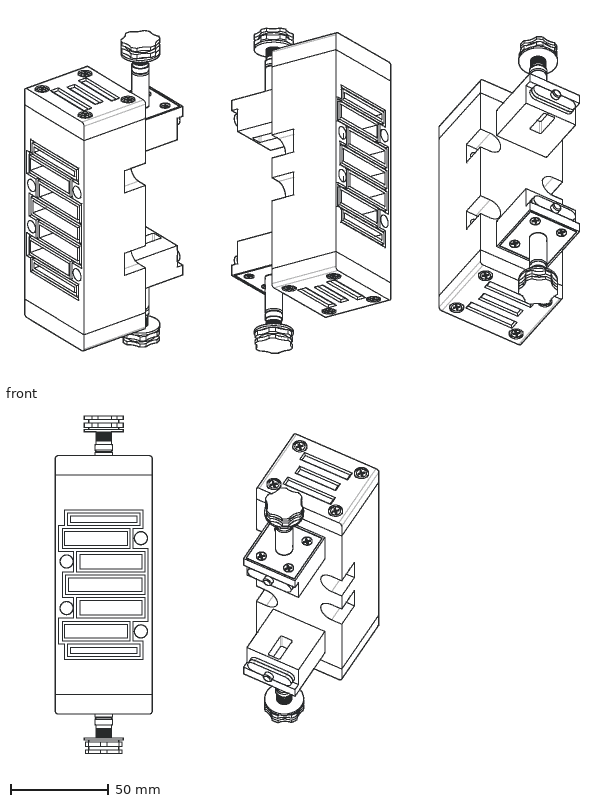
import cadquery as cq
import math


TOTAL_HEIGHT = 173.7
BODY_WIDTH = 50.0
BODY_DEPTH = 40.0
STACK_HEIGHT = 133.0
CAP_THICKNESS = 10.0
BODY_HEIGHT = STACK_HEIGHT - 2 * CAP_THICKNESS

GROOVE_DEPTH = 1.7
GROOVE_WIDTH = 1.5
PORT_DEPTH = 17.4
PORT_LIP = 1.5
PORT_LIP_WIDE = 1.0
PILOT_LAND = (-18.5, 18.5, 30.5, 36.8)
WIDE_LAND = (-21.2, 13.4, 18.8, 29.0)
OUTLET_LAND = (-13.9, 21.2, 6.6, 17.2)
SUPPLY_LAND = (-19.6, 21.2, -5.0, 5.0)
WIDE_LEFT_GROOVE = 2.0

BOLT_X = 19.1
BOLT_Z_RIGHT = 24.0
BOLT_Z_LEFT = 12.0
BOLT_RADIUS = 3.3
BOLT_POCKET_RADIUS = 6.5
BOLT_POCKET_DEPTH = 13.5

CAP_EDGE_RADIUS = 1.7
VENT_PITCH = 9.0
VENT_HEIGHT = 5.0
VENT_LENGTH_OUTER = 28.0
VENT_LENGTH_MIDDLE = 23.8
VENT_DEPTH = 1.0
VENT_WALL_INSET = 0.9
CAP_SCREW_X = 18.0
CAP_SCREW_Y = 13.9
CAP_SCREW_RADIUS = 3.6
CAP_SCREW_FACE_RADIUS = 2.6
CAP_SCREW_SINK = 1.0
CAP_SCREW_CONE_HEIGHT = 0.9

REG_WIDTH = 30.2
REG_DEPTH = 32.0
REG_TOP = 49.0
REG_HEIGHT = 18.2
REG_LIP_HEIGHT = 5.7
REG_LIP_DEPTH = 3.6
REG_FACE_INSET = 1.0
REG_FACE_SINK = 0.3
REG_SCREW_X = 8.0
REG_SCREW_Y = 9.9
REG_SCREW_RADIUS = 2.6
REG_SCREW_SINK = 0.3
REG_AXIS_Y = BODY_DEPTH + REG_DEPTH / 2

INNER_SLOT_WIDTH = 6.8
INNER_SLOT_LENGTH = 13.9
INNER_SLOT_DEPTH = 8.7
INNER_SLOT_BACK_WALL = 1.2
INNER_SLOT_CORNER_RADIUS = 0.7

GAUGE_PLATE_LENGTH = 25.7
GAUGE_PLATE_HEIGHT = 7.1
GAUGE_PLATE_STEP = 1.7
GAUGE_PLATE_INSET = 0.2
PLUG_RADIUS = 2.5
PLUG_REACH = 2.6
PLUG_CHAMFER = 0.5
PLUG_RAISE = 1.0

CROSS_LENGTH = 3.5
CROSS_WIDTH = 0.7
CROSS_DEPTH = 1.0
CROSS_ANGLE = 45.0

KNOB_RADIUS = 10.0
KNOB_SCALLOP_RADIUS = 8.7
KNOB_NECK_RADIUS = 7.8
KNOB_FLANGE_RADIUS = KNOB_RADIUS
KNOB_LOBES = 6
KNOB_SCALLOP_SPAN = 41.0
UPPER_KNOB_TURN = 33.0
LOWER_KNOB_TURN = 0.0
UPPER_DISC_BOTTOM = 1.9
LOWER_DISC_TOP = 3.6
LOWER_DISC_BOTTOM = 6.0
FLANGE_TOP = 7.0
FLANGE_BOTTOM = 8.2
THREAD_BOTTOM = 13.0
THREAD_COUNT = 9
THREAD_DEPTH = 0.26
NECK_BOTTOM = 14.8
COLLAR_BOTTOM = 17.5
STEM_TOP = 19.0
STEM_RADIUS = 4.5
STEM_NECK_RADIUS = 4.0

CUT_MARGIN = 1.7


def face_block(bounds, depth):
    """Box that sinks from the mounting face to the given depth."""
    x_min, x_max, z_min, z_max = bounds
    return cq.Workplane("XY").box(x_max - x_min, depth, z_max - z_min, centered=False).translate(
        (x_min, 0, z_min)
    )


def grown(bounds, left, right, vertical):
    """Rectangle bounds moved outwards on each side."""
    x_min, x_max, z_min, z_max = bounds
    return (x_min - left, x_max + right, z_min - vertical, z_max + vertical)


def flipped(bounds):
    """Rectangle bounds mirrored to the other half of the height."""
    x_min, x_max, z_min, z_max = bounds
    return (x_min, x_max, -z_max, -z_min)


def mirrored(shape):
    """Copy of an upper body for the lower end."""
    return shape.mirror("XY")


def cross_recess(x, y, z_top):
    """Cross-shaped driver recess, open at z_top."""
    cross = cq.Workplane("XY").box(CROSS_LENGTH, CROSS_WIDTH, CROSS_DEPTH, centered=(True, True, False))
    cross = cross.union(cross.rotate((0, 0, 0), (0, 0, 1), 90))
    cross = cross.rotate((0, 0, 0), (0, 0, 1), CROSS_ANGLE)
    return cross.translate((x, y, z_top - CROSS_DEPTH))


def cut_ports(body):
    """Connected gasket groove around seven lands, with an air port through each land."""
    upper = [
        (PILOT_LAND, GROOVE_WIDTH, PORT_LIP),
        (WIDE_LAND, WIDE_LEFT_GROOVE, PORT_LIP_WIDE),
        (OUTLET_LAND, GROOVE_WIDTH, PORT_LIP),
    ]
    lower = [(flipped(land), left, lip) for land, left, lip in upper]
    lands = upper + [(SUPPLY_LAND, GROOVE_WIDTH, PORT_LIP)] + lower
    for land, left_groove, _ in lands:
        body = body.cut(face_block(grown(land, left_groove, GROOVE_WIDTH, GROOVE_WIDTH), GROOVE_DEPTH))
    for land, _, _ in lands:
        body = body.union(face_block(land, GROOVE_DEPTH))
    for land, _, side_lip in lands:
        body = body.cut(face_block(grown(land, -side_lip, -side_lip, -PORT_LIP), PORT_DEPTH))
    return body


def cut_bolt_holes(body):
    """Through holes for the mounting bolts, each with a head pocket open to the nearest side."""
    bolts = [
        (BOLT_X, BOLT_Z_RIGHT),
        (BOLT_X, -BOLT_Z_RIGHT),
        (-BOLT_X, BOLT_Z_LEFT),
        (-BOLT_X, -BOLT_Z_LEFT),
    ]
    for x, z in bolts:
        hole = cq.Workplane("XZ").center(x, z).circle(BOLT_RADIUS).extrude(-BODY_DEPTH)
        pocket_face = cq.Workplane("XZ", origin=(0, BODY_DEPTH, 0)).center(x, z)
        pocket = pocket_face.circle(BOLT_POCKET_RADIUS).extrude(BOLT_POCKET_DEPTH)
        slot_length = BODY_WIDTH / 2 - BOLT_X + CUT_MARGIN
        slot_middle = math.copysign(slot_length / 2, x)
        slot = (
            pocket_face.center(slot_middle, 0)
            .rect(slot_length, 2 * BOLT_POCKET_RADIUS)
            .extrude(BOLT_POCKET_DEPTH)
        )
        body = body.cut(hole).cut(pocket).cut(slot)
    return body


def make_valve_body():
    body = cq.Workplane("XY").box(BODY_WIDTH, BODY_DEPTH, BODY_HEIGHT, centered=(True, False, True))
    return cut_bolt_holes(cut_ports(body))


def cut_vents(cap, top):
    """Three shallow recesses with sloping walls."""
    taper = math.degrees(math.atan2(VENT_WALL_INSET, VENT_DEPTH))
    lengths = (VENT_LENGTH_OUTER, VENT_LENGTH_MIDDLE, VENT_LENGTH_OUTER)
    for row, length in zip((-1, 0, 1), lengths):
        vent = (
            cq.Workplane("XY", origin=(0, BODY_DEPTH / 2 + row * VENT_PITCH, top))
            .rect(length, VENT_HEIGHT)
            .extrude(-VENT_DEPTH, taper=taper)
        )
        cap = cap.cut(vent)
    return cap


def add_cap_screws(cap, top):
    """Sunk screw heads with a conical rim and a cross recess."""
    sink_floor = top - CAP_SCREW_SINK
    face_height = sink_floor + CAP_SCREW_CONE_HEIGHT
    for x in (-CAP_SCREW_X, CAP_SCREW_X):
        for y in (BODY_DEPTH / 2 - CAP_SCREW_Y, BODY_DEPTH / 2 + CAP_SCREW_Y):
            sink = cq.Workplane("XY", origin=(x, y, sink_floor)).circle(CAP_SCREW_RADIUS)
            head = cq.Solid.makeCone(
                CAP_SCREW_RADIUS, CAP_SCREW_FACE_RADIUS, CAP_SCREW_CONE_HEIGHT, cq.Vector(x, y, sink_floor)
            )
            cap = cap.cut(sink.extrude(CAP_SCREW_SINK)).union(cq.Workplane(head))
            cap = cap.cut(cross_recess(x, y, face_height))
    return cap


def make_upper_cap():
    top = STACK_HEIGHT / 2
    cap = (
        cq.Workplane("XY", origin=(0, 0, BODY_HEIGHT / 2))
        .box(BODY_WIDTH, BODY_DEPTH, CAP_THICKNESS, centered=(True, False, False))
        .edges("|Y and >Z")
        .fillet(CAP_EDGE_RADIUS)
    )
    return add_cap_screws(cut_vents(cap, top), top)


def sink_regulator_face(block):
    """Shallow recessed outer face with four screws; the stem seat stays at full height."""
    floor = REG_TOP - REG_FACE_SINK
    recess = (
        cq.Workplane("XY", origin=(0, REG_AXIS_Y, floor))
        .rect(REG_WIDTH - 2 * REG_FACE_INSET, REG_DEPTH - 2 * REG_FACE_INSET)
        .circle(STEM_RADIUS)
        .extrude(REG_FACE_SINK)
    )
    block = block.cut(recess)
    screw_floor = floor - REG_SCREW_SINK
    for x in (-REG_SCREW_X, REG_SCREW_X):
        for y in (REG_AXIS_Y - REG_SCREW_Y, REG_AXIS_Y + REG_SCREW_Y):
            head = cq.Workplane("XY", origin=(x, y, screw_floor)).circle(REG_SCREW_RADIUS)
            block = block.cut(head.extrude(REG_SCREW_SINK)).cut(cross_recess(x, y, screw_floor))
    return block


def add_gauge_port(block):
    """Stepped plate with rounded ends under the lip, carrying a round plug."""
    plate_back = BODY_DEPTH + REG_DEPTH
    plate_front = plate_back - REG_LIP_DEPTH
    middle_z = REG_TOP - REG_LIP_HEIGHT - GAUGE_PLATE_HEIGHT / 2
    base = (
        cq.Workplane("XZ", origin=(0, plate_front, middle_z))
        .slot2D(GAUGE_PLATE_LENGTH, GAUGE_PLATE_HEIGHT)
        .extrude(-GAUGE_PLATE_STEP)
    )
    step = (
        cq.Workplane("XZ", origin=(0, plate_front, middle_z))
        .slot2D(GAUGE_PLATE_LENGTH - 2 * GAUGE_PLATE_INSET, GAUGE_PLATE_HEIGHT - 2 * GAUGE_PLATE_INSET)
        .extrude(-REG_LIP_DEPTH)
    )
    plug = (
        cq.Workplane("XZ", origin=(0, plate_front, middle_z + PLUG_RAISE))
        .circle(PLUG_RADIUS)
        .extrude(-(REG_LIP_DEPTH + PLUG_REACH))
        .faces(">Y")
        .chamfer(PLUG_CHAMFER)
    )
    return block.union(base).union(step).union(plug)


def cut_inner_slot(block):
    slot_back = BODY_DEPTH + REG_DEPTH - REG_LIP_DEPTH - INNER_SLOT_BACK_WALL
    slot = (
        cq.Workplane("XY", origin=(0, slot_back - INNER_SLOT_LENGTH / 2, REG_TOP - REG_HEIGHT))
        .box(INNER_SLOT_WIDTH, INNER_SLOT_LENGTH, INNER_SLOT_DEPTH, centered=(True, True, False))
        .edges("|Z")
        .fillet(INNER_SLOT_CORNER_RADIUS)
    )
    return block.cut(slot)


def make_upper_regulator():
    back = BODY_DEPTH + REG_DEPTH
    block = (
        cq.Workplane("YZ", origin=(-REG_WIDTH / 2, 0, 0))
        .moveTo(BODY_DEPTH, REG_TOP)
        .lineTo(back, REG_TOP)
        .lineTo(back, REG_TOP - REG_LIP_HEIGHT)
        .lineTo(back - REG_LIP_DEPTH, REG_TOP - REG_LIP_HEIGHT)
        .lineTo(back - REG_LIP_DEPTH, REG_TOP - REG_HEIGHT)
        .lineTo(BODY_DEPTH, REG_TOP - REG_HEIGHT)
        .close()
        .extrude(REG_WIDTH)
    )
    return add_gauge_port(cut_inner_slot(sink_regulator_face(block)))


def polar(radius, degrees):
    angle = math.radians(degrees)
    return (radius * math.cos(angle), radius * math.sin(angle))


def lobed_disc(top, bottom, turn):
    """Disc with evenly spaced concave finger scallops; depths count down from the knob top."""
    pitch = 360 / KNOB_LOBES
    half_span = KNOB_SCALLOP_SPAN / 2
    outline = cq.Workplane("XY", origin=(0, 0, -bottom)).moveTo(*polar(KNOB_RADIUS, turn - half_span))
    for lobe in range(KNOB_LOBES):
        middle = turn + lobe * pitch
        outline = outline.threePointArc(
            polar(KNOB_SCALLOP_RADIUS, middle), polar(KNOB_RADIUS, middle + half_span)
        ).threePointArc(
            polar(KNOB_RADIUS, middle + pitch / 2), polar(KNOB_RADIUS, middle + pitch - half_span)
        )
    return outline.close().extrude(bottom - top)


def make_knob(turn):
    """Scalloped knob, turned about Z, on a threaded stem that stands on the upper regulator block."""
    stem_bottom = TOTAL_HEIGHT / 2 - REG_TOP
    thread_pitch = (THREAD_BOTTOM - FLANGE_BOTTOM) / THREAD_COUNT
    profile = (
        cq.Workplane("XZ")
        .moveTo(0, 0)
        .lineTo(KNOB_NECK_RADIUS, 0)
        .lineTo(KNOB_NECK_RADIUS, -FLANGE_TOP)
        .lineTo(KNOB_FLANGE_RADIUS, -FLANGE_TOP)
        .lineTo(KNOB_FLANGE_RADIUS, -FLANGE_BOTTOM)
        .lineTo(STEM_NECK_RADIUS, -FLANGE_BOTTOM)
    )
    for ridge in range(THREAD_COUNT):
        start = FLANGE_BOTTOM + ridge * thread_pitch
        profile = profile.lineTo(STEM_NECK_RADIUS - THREAD_DEPTH, -(start + thread_pitch / 2)).lineTo(
            STEM_NECK_RADIUS, -(start + thread_pitch)
        )
    profile = (
        profile.lineTo(STEM_NECK_RADIUS, -NECK_BOTTOM)
        .lineTo(STEM_RADIUS, -NECK_BOTTOM)
        .lineTo(STEM_RADIUS, -COLLAR_BOTTOM)
        .lineTo(STEM_NECK_RADIUS, -(COLLAR_BOTTOM + STEM_TOP) / 2)
        .lineTo(STEM_RADIUS, -STEM_TOP)
        .lineTo(STEM_RADIUS, -stem_bottom)
        .lineTo(0, -stem_bottom)
        .close()
    )
    knob = profile.revolve(360, (0, 0, 0), (0, 1, 0))
    for top, bottom in ((0, UPPER_DISC_BOTTOM), (LOWER_DISC_TOP, LOWER_DISC_BOTTOM)):
        knob = knob.union(lobed_disc(top, bottom, turn))
    return knob.translate((0, REG_AXIS_Y, TOTAL_HEIGHT / 2))


valve_body = make_valve_body()
upper_cap = make_upper_cap()
lower_cap = mirrored(upper_cap)
upper_regulator = make_upper_regulator()
lower_regulator = mirrored(upper_regulator)
upper_knob = make_knob(UPPER_KNOB_TURN)
lower_knob = mirrored(make_knob(LOWER_KNOB_TURN))

result = cq.Compound.makeCompound(
    [
        valve_body.val(),
        upper_cap.val(),
        lower_cap.val(),
        upper_regulator.val(),
        lower_regulator.val(),
        upper_knob.val(),
        lower_knob.val(),
    ]
)